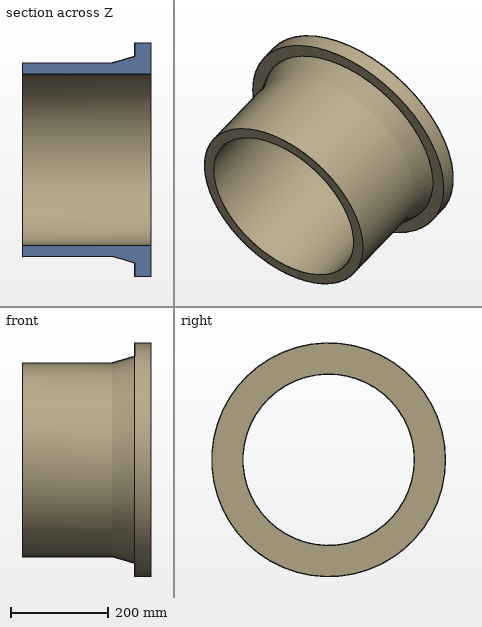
import cadquery as cq

total_length = 265.0
flange_thickness = 34.0
cone_length = 46.0

bore_diameter = 352.6
pipe_diameter = 400.0
cone_end_diameter = 427.0
flange_diameter = 482.0

flange_start = total_length - flange_thickness
cone_start = flange_start - cone_length

bore_radius = bore_diameter / 2
pipe_radius = pipe_diameter / 2
cone_end_radius = cone_end_diameter / 2
flange_radius = flange_diameter / 2


def stub_end():
    """Revolve the wall section (X along the axis, Y as radius) about the X axis."""
    wall_section = [
        (0, bore_radius),
        (0, pipe_radius),
        (cone_start, pipe_radius),
        (flange_start, cone_end_radius),
        (flange_start, flange_radius),
        (total_length, flange_radius),
        (total_length, bore_radius),
    ]
    return cq.Workplane("XY").polyline(wall_section).close().revolve(360, (0, 0, 0), (1, 0, 0))


result = stub_end()